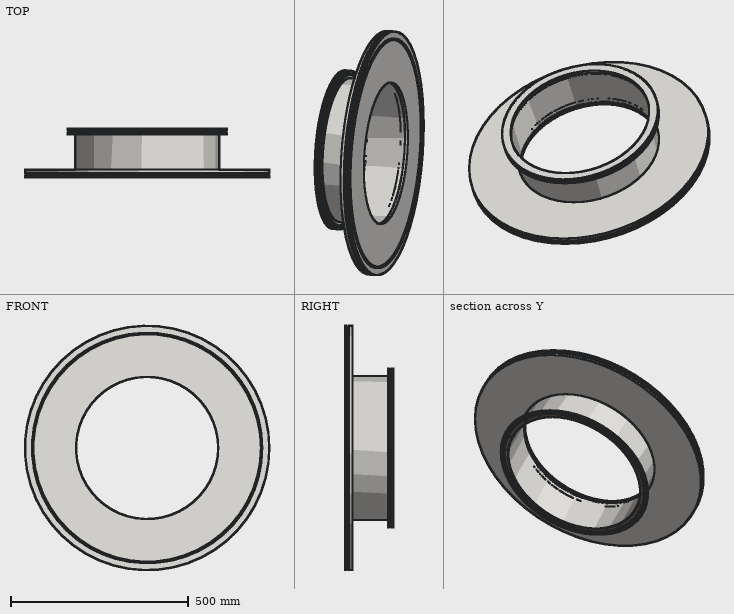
import cadquery as cq

TOTAL_LENGTH = 138.0
BORE_RADIUS = 200.0

BASE_RADIUS = 345.0
BASE_THICKNESS = 22.0
COLLAR_RADIUS = 225.0
COLLAR_THICKNESS = 16.5

TUBE_OUTER_RADIUS = 203.5
TUBE_FRONT = 9.0
TUBE_BACK_GAP = 9.0
TUBE_LENGTH = TOTAL_LENGTH - TUBE_FRONT - TUBE_BACK_GAP

RIM_GROOVE_HALF_WIDTH = 4.0
RIM_GROOVE_DEPTH = 3.5
RIM_GROOVE_OFFSET = 8.0

FACE_GROOVE_WIDTH = 4.0
FACE_GROOVE_DEPTH = 2.0
BASE_FACE_GROOVE_RADIUS = 325.0
COLLAR_FACE_GROOVE_RADIUS = 217.5

def ring(outer_radius, inner_radius, start, length):
    """Plain ring around the Y axis, from Y = start to Y = start + length."""
    plane = cq.Workplane("XZ", origin=(0, start, 0))
    return plane.circle(outer_radius).circle(inner_radius).extrude(-length)


def rim_groove(rim_radius, center):
    """Ring with a triangular section that cuts a V groove into a rim at Y = center."""
    profile = cq.Workplane("XY").polyline([
        (rim_radius, center - RIM_GROOVE_HALF_WIDTH),
        (rim_radius - RIM_GROOVE_DEPTH, center),
        (rim_radius, center + RIM_GROOVE_HALF_WIDTH),
    ]).close()
    return profile.revolve(360, (0, 0), (0, 1))


def face_groove(outer_radius, face):
    """Ring that cuts a groove into the front face at Y = face."""
    return ring(outer_radius, outer_radius - FACE_GROOVE_WIDTH, face, FACE_GROOVE_DEPTH)


def tube_envelope():
    """Solid cylinder that cuts the tube's seat out of both flanges."""
    plane = cq.Workplane("XZ", origin=(0, TUBE_FRONT, 0))
    return plane.circle(TUBE_OUTER_RADIUS).extrude(-TUBE_LENGTH)


def make_base_flange():
    body = ring(BASE_RADIUS, BORE_RADIUS, 0, BASE_THICKNESS)
    body = body.cut(rim_groove(BASE_RADIUS, RIM_GROOVE_OFFSET))
    return body.cut(face_groove(BASE_FACE_GROOVE_RADIUS, 0)).cut(tube_envelope())


def make_collar_flange():
    start = TOTAL_LENGTH - COLLAR_THICKNESS
    body = ring(COLLAR_RADIUS, BORE_RADIUS, start, COLLAR_THICKNESS)
    body = body.cut(rim_groove(COLLAR_RADIUS, TOTAL_LENGTH - RIM_GROOVE_OFFSET))
    return body.cut(face_groove(COLLAR_FACE_GROOVE_RADIUS, start)).cut(tube_envelope())


base_flange = make_base_flange()
collar_flange = make_collar_flange()
tube = ring(TUBE_OUTER_RADIUS, BORE_RADIUS, TUBE_FRONT, TUBE_LENGTH)

result = cq.Compound.makeCompound([base_flange.val(), tube.val(), collar_flange.val()])